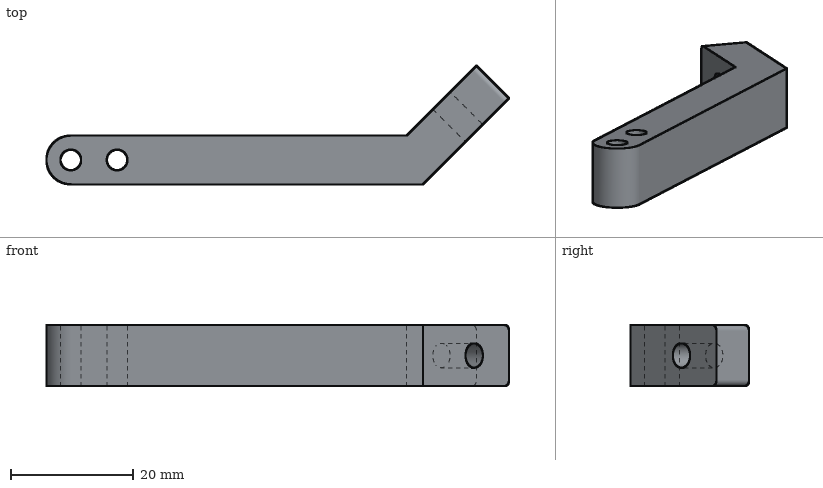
import cadquery as cq
import math

length = 75.75
height = 10.0
bar_width = 8.0
arm_width = 7.6
arm_angle = 45.0
arm_reach = 19.5
pin_hole_diameter = 3.3
pin_hole_spacing = 7.6
cross_hole_diameter = 4.0
cross_hole_setback = 8.1
end_fillet = 1.0

end_radius = bar_width / 2
cos_arm = math.cos(math.radians(arm_angle))
sin_arm = math.sin(math.radians(arm_angle))
outer_tip = (length - end_radius, arm_reach - end_radius - arm_width * cos_arm)
inner_tip = (outer_tip[0] - arm_width * sin_arm, outer_tip[1] + arm_width * cos_arm)
outer_arm_length = (outer_tip[1] + end_radius) / sin_arm
outer_bend_x = outer_tip[0] - outer_arm_length * cos_arm
inner_bend_x = inner_tip[0] - (inner_tip[1] - end_radius) / math.tan(math.radians(arm_angle))

body = (
    cq.Workplane("XY")
    .moveTo(0, -end_radius)
    .lineTo(outer_bend_x, -end_radius)
    .lineTo(*outer_tip)
    .lineTo(*inner_tip)
    .lineTo(inner_bend_x, end_radius)
    .lineTo(0, end_radius)
    .threePointArc((-end_radius, 0), (0, -end_radius))
    .close()
    .extrude(height)
)

arm_direction = cq.Vector(cos_arm, sin_arm, 0)
end_face = body.faces(cq.selectors.DirectionMinMaxSelector(arm_direction))
body = end_face.edges("#Z").fillet(end_fillet)

pin_holes = (
    cq.Workplane("XY")
    .pushPoints([(0, 0), (pin_hole_spacing, 0)])
    .circle(pin_hole_diameter / 2)
    .extrude(height)
)

cross_hole_start = cq.Vector(*outer_tip, height / 2) - arm_direction * cross_hole_setback
across_arm = cq.Vector(-sin_arm, cos_arm, 0)
cross_hole = cq.Solid.makeCylinder(cross_hole_diameter / 2, arm_width, cross_hole_start, across_arm)

result = body.cut(pin_holes).cut(cq.Workplane(obj=cross_hole))